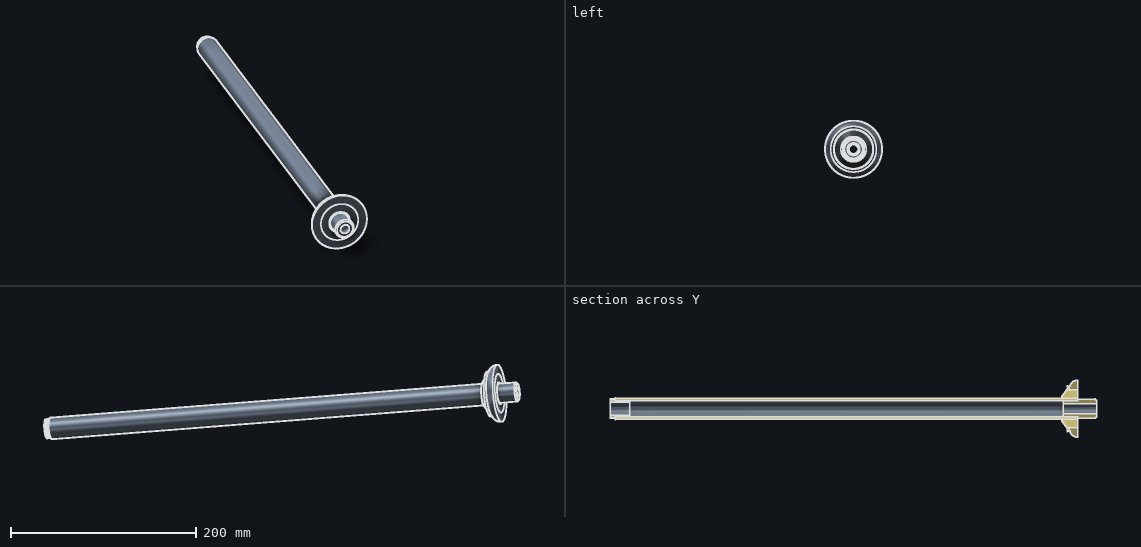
import cadquery as cq

TOTAL_LENGTH = 526.0

TUBE_RADIUS = 11.85
TUBE_BORE_RADIUS = 8.5

NIPPLE_RADIUS = 10.5
NIPPLE_PROJECTION = 5.0
NIPPLE_INSERTION = 16.0
NIPPLE_BORE_RADIUS = 7.0
GROOVE_COUNT = 3
GROOVE_DEPTH = 0.65

STUB_RADIUS = 10.5
STUB_PROJECTION = 20.5
STUB_INSERTION = 16.0
STUB_BORE_RADIUS = 5.0
STUB_CHAMFER = 1.5

ROSETTE_RADIUS = 31.0
ROSETTE_THICKNESS = 9.0
ROSETTE_ROUNDING = 8.5
RING_WIDTH = 2.5
RING_OUTER_RADIUS = 24.5
RING_INNER_RADIUS = 21.0
COLLAR_LENGTH = 17.5
COLLAR_NOSE_RADIUS = 13.5
COLLAR_SHOULDER_RADIUS = 21.5

tube_start = NIPPLE_PROJECTION
tube_end = TOTAL_LENGTH - STUB_PROJECTION
rosette_start = tube_end - ROSETTE_THICKNESS
ring_start = rosette_start - RING_WIDTH
collar_start = tube_end - COLLAR_LENGTH


def cylinder(start, end, radius):
    return cq.Workplane("YZ", origin=(start, 0, 0)).circle(radius).extrude(end - start)


def sleeve(start, end, outer_radius, inner_radius):
    return cylinder(start, end, outer_radius).cut(cylinder(start, end, inner_radius))


def make_tube():
    return sleeve(tube_start, tube_end, TUBE_RADIUS, TUBE_BORE_RADIUS)


def make_nipple():
    """Plug in the tube end, with evenly spaced grooves round its projecting head."""
    head = cylinder(0, tube_start, NIPPLE_RADIUS)
    shank = cylinder(tube_start, tube_start + NIPPLE_INSERTION, TUBE_BORE_RADIUS)
    nipple = head.union(shank).cut(cylinder(0, tube_start + NIPPLE_INSERTION, NIPPLE_BORE_RADIUS))
    pitch = NIPPLE_PROJECTION / (2 * GROOVE_COUNT + 1)
    for index in range(GROOVE_COUNT):
        start = (2 * index + 1) * pitch
        nipple = nipple.cut(sleeve(start, start + pitch, NIPPLE_RADIUS, NIPPLE_RADIUS - GROOVE_DEPTH))
    return nipple


def make_stub():
    head = cylinder(tube_end, TOTAL_LENGTH, STUB_RADIUS).faces(">X").chamfer(STUB_CHAMFER)
    shank = cylinder(tube_end - STUB_INSERTION, tube_end, TUBE_BORE_RADIUS)
    bore = cylinder(tube_end - STUB_INSERTION, TOTAL_LENGTH, STUB_BORE_RADIUS)
    return head.union(shank).cut(bore)


def make_collar():
    """Cone that widens toward the rosette, with a plain sleeve carrying the ring and rosette."""
    return (
        cq.Workplane("XY")
        .moveTo(collar_start, TUBE_RADIUS)
        .lineTo(collar_start, COLLAR_NOSE_RADIUS)
        .lineTo(ring_start, COLLAR_SHOULDER_RADIUS)
        .lineTo(ring_start, RING_INNER_RADIUS)
        .lineTo(tube_end, RING_INNER_RADIUS)
        .lineTo(tube_end, TUBE_RADIUS)
        .close()
        .revolve(360, (0, 0, 0), (1, 0, 0))
    )


def make_ring():
    return sleeve(ring_start, rosette_start, RING_OUTER_RADIUS, RING_INNER_RADIUS)


def make_rosette():
    """Disc against the wall with a rounded front edge."""
    disc = cylinder(rosette_start, tube_end, ROSETTE_RADIUS).faces("<X").edges().fillet(ROSETTE_ROUNDING)
    return disc.cut(cylinder(rosette_start, tube_end, RING_INNER_RADIUS))


tube = make_tube()
nipple = make_nipple()
stub = make_stub()
collar = make_collar()
ring = make_ring()
rosette = make_rosette()

result = cq.Compound.makeCompound(
    [tube.val(), nipple.val(), stub.val(), collar.val(), ring.val(), rosette.val()]
)